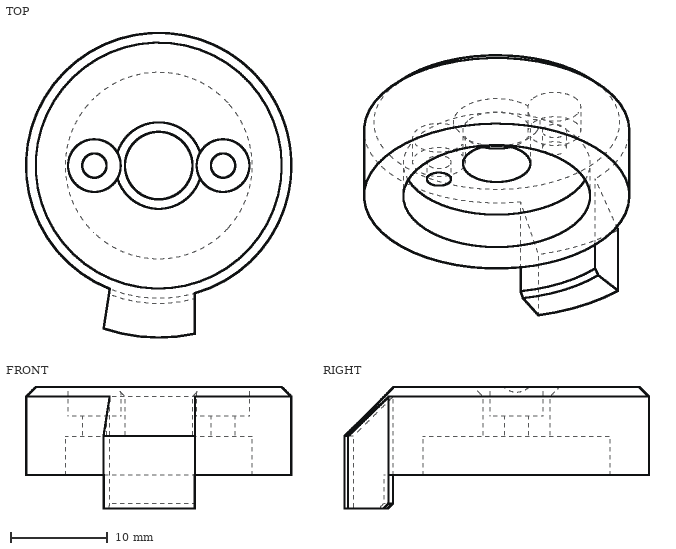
import cadquery as cq

disc_diameter = 27.45
disc_radius = disc_diameter / 2
disc_height = 9.1
rim_chamfer = 1.0
top_radius = disc_radius - rim_chamfer

overall_length = 31.5
lug_tip_radius = overall_length - disc_radius
lug_drop = 3.45
lug_chamfer = 0.55
lug_right_x = 3.75
lug_tip_left_x = -5.7
lug_tip_left_y = -16.82
lug_root_left_x = -5.07
lug_root_left_y = -12.75

bore_diameter = 6.95
countersink_diameter = 8.95
countersink_depth = (countersink_diameter - bore_diameter) / 2

screw_spacing = 13.3
screw_diameter = 2.5
screw_head_diameter = 5.45
screw_head_depth = 3.0

recess_diameter = 19.3
recess_depth = 4.0


def revolve_profile(points):
    """Revolve a closed (radius, Z) outline about the Z axis."""
    return cq.Workplane("XZ").polyline(points).close().revolve(360, (0, 0), (0, 1))


def make_disc():
    disc = cq.Workplane("XY").circle(disc_radius).extrude(disc_height)
    return disc.faces(">Z").edges().chamfer(rim_chamfer)


def make_lug():
    tip_top_z = disc_height - (lug_tip_radius - top_radius)
    overlap_radius = top_radius - rim_chamfer
    ring = revolve_profile([
        (overlap_radius, 0),
        (overlap_radius, disc_height - rim_chamfer),
        (top_radius, disc_height),
        (lug_tip_radius, tip_top_z),
        (lug_tip_radius, -lug_drop),
        (disc_radius + lug_chamfer, -lug_drop),
        (disc_radius, lug_chamfer - lug_drop),
        (disc_radius, 0),
    ])
    step_x = lug_tip_left_x - lug_root_left_x
    step_y = lug_tip_left_y - lug_root_left_y
    outer_y = lug_tip_left_y + step_y
    inner_y = lug_root_left_y - step_y
    sector = (
        cq.Workplane("XY", origin=(0, 0, -lug_drop))
        .polyline([
            (lug_root_left_x - step_x, inner_y),
            (lug_tip_left_x + step_x, outer_y),
            (lug_right_x, outer_y),
            (lug_right_x, inner_y),
        ])
        .close()
        .extrude(lug_drop + disc_height)
    )
    return ring.intersect(sector)


def make_bore():
    bore_radius = bore_diameter / 2
    return revolve_profile([
        (0, 0),
        (bore_radius, 0),
        (bore_radius, disc_height - countersink_depth),
        (countersink_diameter / 2, disc_height),
        (0, disc_height),
    ])


def make_screw_holes():
    centres = [(-screw_spacing / 2, 0), (screw_spacing / 2, 0)]
    shanks = cq.Workplane("XY").pushPoints(centres).circle(screw_diameter / 2).extrude(disc_height)
    heads = (
        cq.Workplane("XY", origin=(0, 0, disc_height - screw_head_depth))
        .pushPoints(centres)
        .circle(screw_head_diameter / 2)
        .extrude(screw_head_depth)
    )
    return shanks.union(heads)


def make_recess():
    return cq.Workplane("XY").circle(recess_diameter / 2).extrude(recess_depth)


body = make_disc().union(make_lug())
result = body.cut(make_recess()).cut(make_bore()).cut(make_screw_holes())